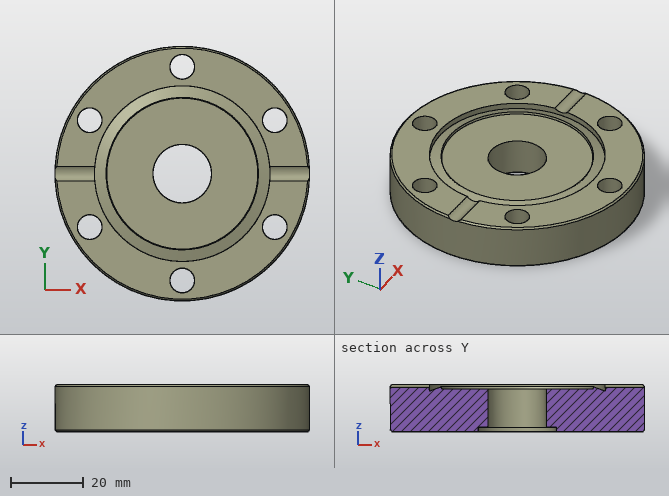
import cadquery as cq
import math

flange_diameter = 70.0
flange_thickness = 13.0
edge_chamfer = 0.5

bore_diameter = 16.0
counterbore_diameter = 21.4
counterbore_depth = 1.25

recess_diameter = 48.3
recess_depth = 1.75
knife_diameter = 41.9
knife_slope = 20.0
inner_floor_diameter = 41.5
inner_floor_depth = 1.2

bolt_count = 6
bolt_hole_diameter = 6.7
bolt_circle_diameter = 58.7

groove_width = 4.0
groove_depth = 0.8


def make_body():
    """Disc with its underside at Z = 0 and both rims chamfered."""
    disc = cq.Workplane("XY").circle(flange_diameter / 2).extrude(flange_thickness)
    return disc.edges("%CIRCLE").chamfer(edge_chamfer)


def make_gasket_recess():
    """Revolved cutter: flat inner floor, knife edge, cone and outer wall."""
    recess_radius = recess_diameter / 2
    knife_radius = knife_diameter / 2
    recess_bottom = flange_thickness - recess_depth
    floor_height = flange_thickness - inner_floor_depth
    knife_rise = (recess_radius - knife_radius) * math.tan(math.radians(knife_slope))
    return (
        cq.Workplane("XZ")
        .moveTo(0, flange_thickness)
        .lineTo(0, floor_height)
        .lineTo(inner_floor_diameter / 2, floor_height)
        .lineTo(knife_radius, recess_bottom + knife_rise)
        .lineTo(recess_radius, recess_bottom)
        .lineTo(recess_radius, flange_thickness)
        .close()
        .revolve(360, (0, 0, 0), (0, 1, 0))
    )


def make_bore():
    """Through bore, widened by a counterbore at the underside."""
    bore = cq.Workplane("XY").circle(bore_diameter / 2).extrude(flange_thickness)
    counterbore = cq.Workplane("XY").circle(counterbore_diameter / 2).extrude(counterbore_depth)
    return bore.union(counterbore)


def make_bolt_holes():
    """Through holes evenly spaced on the bolt circle, the first on +Y."""
    return (
        cq.Workplane("XY")
        .polarArray(bolt_circle_diameter / 2, 90, 360, bolt_count)
        .circle(bolt_hole_diameter / 2)
        .extrude(flange_thickness)
    )


def make_leak_grooves():
    """One cylinder along X that cuts a groove on each side of the recess.

    The knife edge and inner floor must stay clear of the cylinder.
    """
    groove_radius = ((groove_width / 2) ** 2 + groove_depth**2) / (2 * groove_depth)
    axis_height = flange_thickness - groove_depth + groove_radius
    cylinder = (
        cq.Workplane("YZ")
        .center(0, axis_height)
        .circle(groove_radius)
        .extrude(flange_diameter / 2, both=True)
    )
    knife_zone = cq.Workplane("XY").circle(recess_diameter / 2).extrude(flange_thickness)
    return cylinder.cut(knife_zone)


result = (
    make_body()
    .cut(make_gasket_recess())
    .cut(make_bore())
    .cut(make_bolt_holes())
    .cut(make_leak_grooves())
)